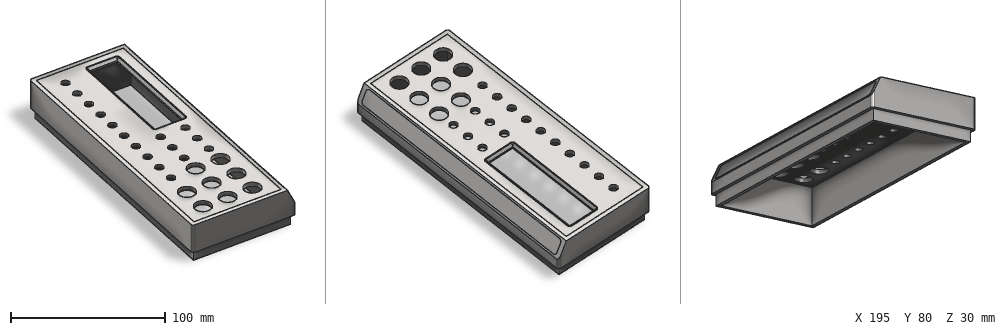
import cadquery as cq
import math

length = 195.0
width = 80.0
height = 30.0
corner_radius = 2.0
top_z = height / 2
bottom_z = -height / 2

lip_height = 8.2
lip_inset = 2.5
lip_length = length - 2 * lip_inset
lip_width = width - 2 * lip_inset
shell_bottom_z = bottom_z + lip_height

slope_run = 6.6
slope_drop = 13.6

wall = 5.0
plate_thickness = 3.5

recess_depth = 0.2
panel_length = 188.5
panel_front_y = -36.7
panel_rear_y = 30.5
panel_width = panel_rear_y - panel_front_y
panel_y = (panel_rear_y + panel_front_y) / 2
slope_recess_length = 187.5
slope_recess_height = 12.0
slope_recess_radius = 2.3

window_center = (-48.0, 10.3)
window_length = 78.4
window_width = 21.0
bevel = 1.8
bevel_angle = 45
ledge_width = 0.5
ledge_depth = 0.2
window_corner_radius = 2.0

small_diameter = 6.0
large_diameter = 12.3
hole_pitch = 19.1
row_count = 3
row_ys = [panel_y + (row - 1) * hole_pitch for row in range(row_count)]
small_pitch = 14.0
small_start_x = -81.9
small_columns = 10
upper_first_column = 6
upper_last_column = 8
large_columns = 3
large_start_x = 44.3


def profile(offset, top):
    """Y-Z outline with front, rear and slope moved inwards by offset and cut off at height top."""
    rear = width / 2 - offset
    slope_rate = slope_run / slope_drop
    slope_shift = offset * math.sqrt(1 + slope_rate**2)
    slope_top_y = width / 2 - slope_run - slope_shift
    return [
        (-rear, bottom_z),
        (rear, bottom_z),
        (rear, top_z - (rear - slope_top_y) / slope_rate),
        (slope_top_y + (top_z - top) * slope_rate, top),
        (-rear, top),
    ]


def extruded_profile(offset, top):
    """Profile extruded symmetrically along X."""
    half_length = length / 2 - offset
    return cq.Workplane("YZ").polyline(profile(offset, top)).close().extrude(half_length, both=True)


def box_between(size_x, size_y, low_z, high_z, center=(0, 0)):
    """Upright box between two heights, centred on an X-Y point."""
    return (
        cq.Workplane("XY", origin=(*center, low_z))
        .rect(size_x, size_y)
        .extrude(high_z - low_z)
    )


shell = box_between(length, width, shell_bottom_z, top_z).edges("|Z").fillet(corner_radius)
shell = shell.intersect(extruded_profile(0, top_z))
lip = box_between(lip_length, lip_width, bottom_z, shell_bottom_z)
body = shell.union(lip)

body = body.cut(extruded_profile(wall, top_z - plate_thickness))

body = body.cut(box_between(panel_length, panel_width, top_z - recess_depth, top_z, (0, panel_y)))

slope_plane = cq.Plane(
    origin=(0, (width - slope_run) / 2, top_z - slope_drop / 2),
    xDir=(1, 0, 0),
    normal=(0, slope_drop, slope_run),
)
slope_recess = (
    cq.Workplane(slope_plane)
    .rect(slope_recess_length, slope_recess_height)
    .extrude(-recess_depth)
    .edges(cq.selectors.ParallelDirSelector(slope_plane.zDir))
    .fillet(slope_recess_radius)
)
body = body.cut(slope_recess)

rim_z = top_z - recess_depth
body = body.cut(box_between(window_length, window_width, bottom_z, top_z, window_center))
ledge_z = rim_z - ledge_depth
bevel_length = window_length + 2 * bevel
bevel_width = window_width + 2 * bevel
ledge = box_between(
    bevel_length + 2 * ledge_width, bevel_width + 2 * ledge_width, ledge_z, rim_z, window_center
)
body = body.cut(ledge.edges("|Z").fillet(window_corner_radius))
bevel_cut = (
    cq.Workplane("XY", origin=(*window_center, ledge_z))
    .sketch()
    .rect(bevel_length, bevel_width)
    .vertices()
    .fillet(window_corner_radius - ledge_width)
    .finalize()
    .extrude(-bevel, taper=bevel_angle)
)
body = body.cut(bevel_cut)

small_points = [(small_start_x + i * small_pitch, row_ys[0]) for i in range(small_columns)]
for column in range(upper_first_column, upper_last_column + 1):
    for y in row_ys[1:]:
        small_points.append((small_start_x + column * small_pitch, y))
large_points = []
for column in range(large_columns):
    for row in range(row_count):
        if (column, row) != (0, 0):
            large_points.append((large_start_x + column * hole_pitch, row_ys[row]))
for points, diameter in ((small_points, small_diameter), (large_points, large_diameter)):
    body = body.cut(
        cq.Workplane("XY", origin=(0, 0, bottom_z)).pushPoints(points).circle(diameter / 2).extrude(height)
    )

result = body